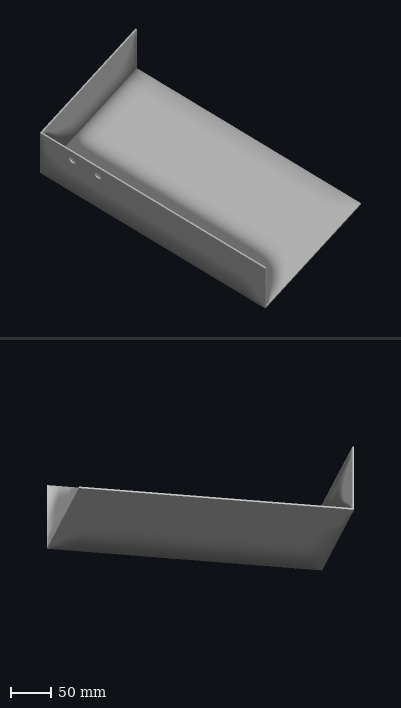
import cadquery as cq

length = 350
width = 200.0
height = 85.0
sheet = 2.0

hole_diameter = 10.0
first_hole_x = 50.0
hole_spacing = 40.0
hole_drop = 17.5


def corner_block(size_x, size_y, size_z):
    """Box with its lowest corner at the origin."""
    return cq.Workplane("XY").box(size_x, size_y, size_z, centered=False)


floor = corner_block(length, width, sheet)
long_wall = corner_block(length, sheet, height)
short_wall = corner_block(sheet, width, height)
tray = floor.union(long_wall).union(short_wall)

hole_z = height - hole_drop
hole_centers = [(first_hole_x + i * hole_spacing, hole_z) for i in range(2)]
holes = (
    cq.Workplane("XZ")
    .pushPoints(hole_centers)
    .circle(hole_diameter / 2)
    .extrude(-sheet)
)

result = tray.cut(holes)